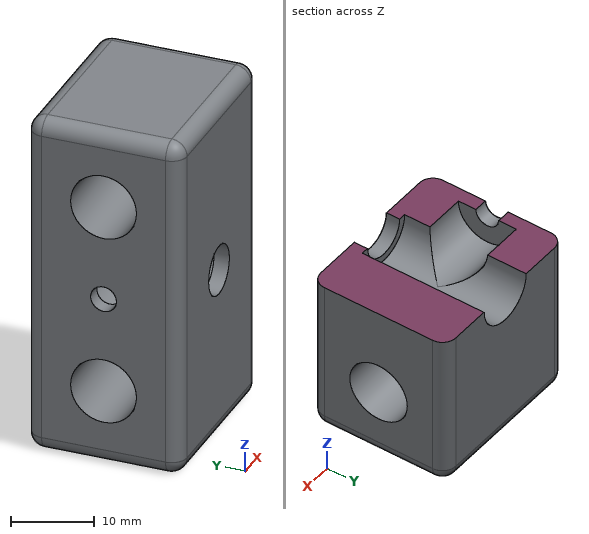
import cadquery as cq

width = 24.0
depth = 20.0
height = 45.0
edge_radius = 2.0

bore_diameter = 8.5
side_bore_spacing = 25.0
lip_thickness = 2.0
front_opening_diameter = 6.5
small_hole_diameter = 3.35


def rounded_block():
    """Block centred on the origin with every edge rounded."""
    return cq.Workplane("XY").box(width, depth, height).edges().fillet(edge_radius)


def side_bores():
    """Pair of bores running right through along X, above and below the centre."""
    offsets = [(0, -side_bore_spacing / 2), (0, side_bore_spacing / 2)]
    return (
        cq.Workplane("YZ")
        .pushPoints(offsets)
        .circle(bore_diameter / 2)
        .extrude(width / 2, both=True)
    )


def stepped_front_bore():
    """Central bore along Y, open at +Y, behind a lip with a smaller opening at -Y."""
    front = cq.Workplane("XZ", origin=(0, -depth / 2, 0))
    opening = front.circle(front_opening_diameter / 2).extrude(-depth)
    bore = front.workplane(offset=-lip_thickness).circle(bore_diameter / 2).extrude(lip_thickness - depth)
    return opening.union(bore)


def stepped_small_hole():
    """Small hole through a lip at -X, widening to a bore that ends in the central bore."""
    side = cq.Workplane("YZ", origin=(-width / 2, 0, 0))
    opening = side.circle(small_hole_diameter / 2).extrude(width / 2)
    bore = side.workplane(offset=lip_thickness).circle(bore_diameter / 2).extrude(width / 2 - lip_thickness)
    return opening.union(bore)


result = (
    rounded_block()
    .cut(side_bores())
    .cut(stepped_front_bore())
    .cut(stepped_small_hole())
)